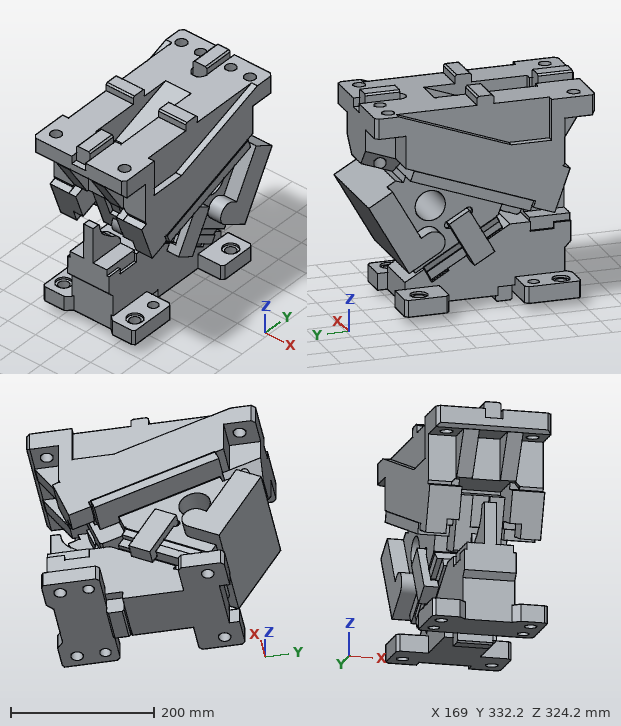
import cadquery as cq
import math


RAMP_ANGLE = 30.0
GUIDE_ANGLE = 20.0
RAMP_ORIGIN = (207.5, 36.0)
GUIDE_ORIGIN = (247.0, 216.2)

UNIT_HALF_WIDTH = 83.0
BODY_HALF_WIDTH = 37.5
BODY_FRONT = 9.0
BODY_REAR = 244.8
BODY_TOP = 104.0
NECK_HALF_WIDTH = 33.5
NOSE_CHAMFER_LOW = 59.8
NOSE_CHAMFER_HIGH = 69.0
UPSTAND_DEPTH = 59.8
UPSTAND_TOP = 109.0
UPSTAND_SEAT_STEP = 24.5
UPSTAND_SEAT_FRONT = 98.5
UPSTAND_SEAT_REAR = 89.7
RIB_HALF_WIDTH = 8.5
RIB_TOP = 169.0
RIB_HEEL_TOP = 116.0
RIB_SHOULDER_MIDDLE = (53.8, 124.0)
RIB_SHOULDER_END = (42.0, 130.5)
RIB_HOLLOW_START = (27.2, 141.8)
RIB_HOLLOW_MIDDLE = (17.5, 153.5)
RIB_HOLLOW_END = (14.3, 165.0)
RIB_TIP_MIDDLE = (13.0, 168.0)
RIB_TIP_END = (10.3, RIB_TOP)
RAIL_LENGTH = 124.5
RAIL_BOTTOM = 4.3
RAIL_TOP = 18.0
RAIL_HALF_WIDTH = 40.2
FLANGE_HALF_WIDTH = 49.8
FLANGE_LENGTH = 84.0
RELIEF_LENGTH = 29.0
RELIEF_DEPTH = 5.5
FOOT_HEIGHT = 25.0
FRONT_FOOT_LENGTH = 82.5
REAR_FOOT_START = 194.0
REAR_FOOT_END = 259.5
FOOT_CHAMFER = 4.5
FRONT_CHAMFER_DEPTH = 2.5
REAR_BOLT_Y = 233.0
FOOT_INNER_X = 44.0
FOOT_HOLE_X = 64.5
FRONT_BOLT_Y = 24.0
FOOT_BOLT_RADIUS = 8.5
FOOT_BOLT_SEAT_RADIUS = 12.5
FOOT_BOLT_SEAT_DEPTH = 3.3
DOWEL_Y = 64.0
DOWEL_RADIUS = 8.0
BASE_KEY_HALF_LENGTH = 25.5

KEY_WIDTH = 25.0
KEY_RISE = 13.0
KEY_CHAMFER = 2.5

SLIDE_HALF_WIDTH = 51.8
SLIDE_DRAFT_HALF_WIDTH = 47.8
SLIDE_DRAFT_TOP = 28.0
PLATE_OVERHANG = 1.5
PLATE_HALF_WIDTH = UNIT_HALF_WIDTH + PLATE_OVERHANG
PLATE_LENGTH = 187.5
PLATE_THICKNESS = 15.5
SHOULDER_STEP = 1.3
SLIDE_LENGTH = 158.0
SLIDE_FRONT_DROP = 40.0
SLIDE_FRONT_FOOT = 30.0
SLIDE_REAR = 5.0
SLIDE_REAR_DROP = 27.5
SLIDE_HEEL = -15.0
SLIDE_CROWN_END = 30.0
SLAB_HALF_WIDTH = 75.0
SLAB_START = -25.0
SLAB_END = 15.5
SLAB_BOTTOM = 44.2
SLAB_TOP = 163.5
BOSS_RADIUS = 17.3
BOSS_CENTRE = 26.2
BORE_CENTRE = (212.2, 150.0)
BORE_RADIUS = 22.3
KEEPER_START = 60.5
KEEPER_WIDTH = 34.5
KEEPER_BOTTOM = -9.0
KEEPER_TOP = 66.0
KEEPER_HALF_WIDTH = 63.5
HOOK_HALF_WIDTH = 42.0
KEEPER_RELIEF_RADIUS = 5.5
KEEPER_RELIEF_DEPTH = 5.0
TONGUE_LENGTH = 38.5
TONGUE_BOTTOM = -37.0
TONGUE_TOP = 44.5
TONGUE_CHAMFER = 3.3
TONGUE_SLOT_DEPTH = 6.5
DISC_CENTRE = (81.5, 130.5)
DISC_RADIUS = 19.0
DISC_HALF_WIDTH = 9.5

HOLDER_FRONT = -21.3
HOLDER_REAR = 303.5
HOLDER_TOP = 298.2
HOLDER_PLATE_BOTTOM = 268.5
HOLDER_CHAMFER = 5.3
WALL_FRONT = 24.5
WALL_BOTTOM = 202.0
WALL_REAR = 259.0
WEB_HALF_WIDTH = 39.5
TAB_DEPTH = 23.2
TAB_TIP_HALF_WIDTH = 19.5
TAB_CLEARANCE = 1.5
CHANNEL_HALF_WIDTH = 36.5
CHANNEL_ROOF = 208.2
STOP_BACK = 191.0
STOP_FRONT = 224.5
STOP_BOTTOM = -9.5
STOP_TOP = 57.5
STOP_ROOT = (26.5, 197.5)
STOP_NOTCH_HALF_WIDTH = 53.8
STOP_NOTCH_TOP = 11.0
GUSSET_INNER = 20.3
GUSSET_OUTER = 43.0
GUSSET_TIP = -17.0
GUSSET_HEEL = 21.5
MOUTH_HALF_WIDTH = 49.0
MOUTH_BACK = 206.5
SIDE_RECESS_X = 72.5
POCKET_HALF_WIDTH = 23.0
POCKET_FRONT = 44.0
POCKET_REAR = 196.3
POCKET_BEND = 86.7
SIDE_RECESS_REAR = 269.0
SIDE_RECESS_BEND = 103.3
HOLE_X = 62.0
HOLE_RADIUS = 9.0
HOLE_REAR_Y = 278.0
HOLE_FRONT_Y = 4.3
PIN_HOLE_X = 27.2
PIN_HOLE_RADIUS = 8.5
LONG_KEY_LENGTH = 51.0
REAR_KEY_FRONT = 243.5
REAR_SLOT_END = 230.5
FRONT_KEY_FRONT = -11.3
CROSS_KEY_FRONT = 125.5


def on_ramp(along, above):
    """(Y, Z) of a point measured up the driver ramp and square to it."""
    angle = math.radians(RAMP_ANGLE)
    y = RAMP_ORIGIN[0] - along * math.cos(angle) + above * math.sin(angle)
    z = RAMP_ORIGIN[1] + along * math.sin(angle) + above * math.cos(angle)
    return (y, z)


def on_guide(along, above):
    """(Y, Z) of a point measured down the holder guide and square to it."""
    angle = math.radians(GUIDE_ANGLE)
    y = GUIDE_ORIGIN[0] - along * math.cos(angle) - above * math.sin(angle)
    z = GUIDE_ORIGIN[1] - along * math.sin(angle) + above * math.cos(angle)
    return (y, z)


def forward(angle):
    """(Y, Z) unit vector pointing to -Y and rising by the given angle."""
    return (-math.cos(math.radians(angle)), math.sin(math.radians(angle)))


def ramp_height(y, above):
    """Z at a given Y on the plane lying a set distance above the driver ramp."""
    angle = math.radians(RAMP_ANGLE)
    return RAMP_ORIGIN[1] + (RAMP_ORIGIN[0] - y) * math.tan(angle) + above / math.cos(angle)


def guide_height(y):
    """Z at a given Y on the holder guide plane."""
    return GUIDE_ORIGIN[1] + (y - GUIDE_ORIGIN[0]) * math.tan(math.radians(GUIDE_ANGLE))


def slab(points, x_start, x_end):
    """Extrude a closed (Y, Z) outline from x_start to x_end."""
    return cq.Workplane("YZ").workplane(offset=x_start).polyline(points).close().extrude(x_end - x_start)


def centred(points, half_width):
    return slab(points, -half_width, half_width)


def both_sides(solid):
    return solid.union(solid.mirror("YZ"))


def pair(points, x_inner, x_outer):
    return both_sides(slab(points, x_inner, x_outer))


def rectangle(frame, start, end, bottom, top):
    """Four corners of a rectangle lying in a ramp or guide frame."""
    return [frame(start, bottom), frame(end, bottom), frame(end, top), frame(start, top)]


def box(x_start, x_end, y_start, y_end, z_start, z_end):
    size = (x_end - x_start, y_end - y_start, z_end - z_start)
    return cq.Workplane("XY").box(*size, centered=False).translate((x_start, y_start, z_start))


def rod(centre, radius, half_width):
    """Cylinder along X about a (Y, Z) centre, symmetric about X = 0."""
    return cq.Workplane("YZ").center(*centre).circle(radius).extrude(half_width, both=True)


def upright_rod(x, y, radius, z_start, z_end):
    return cq.Workplane("XY").workplane(offset=z_start).center(x, y).circle(radius).extrude(z_end - z_start)


def driver_body():
    ramp_run = (BODY_TOP - RAMP_ORIGIN[1]) / math.tan(math.radians(RAMP_ANGLE))
    body = centred([
        (BODY_FRONT, 0),
        (BODY_REAR, 0),
        (BODY_REAR, ramp_height(BODY_REAR, RAIL_TOP)),
        on_ramp(0, RAIL_TOP),
        on_ramp(0, 0),
        on_ramp(RAIL_LENGTH, 0),
        (RAMP_ORIGIN[0] - ramp_run, BODY_TOP),
        (UPSTAND_DEPTH, BODY_TOP),
        (0, BODY_TOP),
        (0, NOSE_CHAMFER_HIGH),
        (BODY_FRONT, NOSE_CHAMFER_LOW),
    ], BODY_HALF_WIDTH)
    seat = pair([
        (0, UPSTAND_SEAT_FRONT),
        (UPSTAND_SEAT_STEP, UPSTAND_SEAT_FRONT),
        (UPSTAND_SEAT_STEP, UPSTAND_SEAT_REAR),
        (UPSTAND_DEPTH, UPSTAND_SEAT_REAR),
        (UPSTAND_DEPTH, UPSTAND_TOP),
        (0, UPSTAND_TOP),
    ], NECK_HALF_WIDTH, BODY_HALF_WIDTH)
    relief = pair(rectangle(on_ramp, 0, RELIEF_LENGTH, -RELIEF_DEPTH, 0), NECK_HALF_WIDTH, BODY_HALF_WIDTH)
    upstand = box(-NECK_HALF_WIDTH, NECK_HALF_WIDTH, 0, UPSTAND_DEPTH, UPSTAND_SEAT_FRONT, UPSTAND_TOP)
    return body.cut(seat).cut(relief).union(upstand)


def driver_rail():
    neck = centred(rectangle(on_ramp, 0, RAIL_LENGTH, -RELIEF_DEPTH, RAIL_TOP), NECK_HALF_WIDTH)
    rail = centred(rectangle(on_ramp, 0, RAIL_LENGTH, RAIL_BOTTOM, RAIL_TOP), RAIL_HALF_WIDTH)
    flange = centred(rectangle(on_ramp, 0, FLANGE_LENGTH, RAIL_BOTTOM, RAIL_TOP), FLANGE_HALF_WIDTH)
    return neck.union(rail).union(flange)


def driver_rib():
    return (
        cq.Workplane("YZ")
        .moveTo(0, UPSTAND_TOP)
        .lineTo(UPSTAND_DEPTH, UPSTAND_TOP)
        .lineTo(UPSTAND_DEPTH, RIB_HEEL_TOP)
        .threePointArc(RIB_SHOULDER_MIDDLE, RIB_SHOULDER_END)
        .lineTo(*RIB_HOLLOW_START)
        .threePointArc(RIB_HOLLOW_MIDDLE, RIB_HOLLOW_END)
        .threePointArc(RIB_TIP_MIDDLE, RIB_TIP_END)
        .lineTo(0, RIB_TOP)
        .close()
        .extrude(RIB_HALF_WIDTH, both=True)
    )


def front_foot():
    foot = (
        cq.Workplane("XY")
        .polyline([
            (NECK_HALF_WIDTH, BODY_FRONT),
            (FOOT_INNER_X, 0),
            (UNIT_HALF_WIDTH - FOOT_CHAMFER, 0),
            (UNIT_HALF_WIDTH, FRONT_CHAMFER_DEPTH),
            (UNIT_HALF_WIDTH, FRONT_FOOT_LENGTH),
            (NECK_HALF_WIDTH, FRONT_FOOT_LENGTH),
        ])
        .close()
        .extrude(FOOT_HEIGHT)
    )
    foot = foot.edges("|Z and >X and >Y").chamfer(FOOT_CHAMFER)
    return foot.cut(foot_bolt_hole(FRONT_BOLT_Y)).cut(
        upright_rod(FOOT_HOLE_X, DOWEL_Y, DOWEL_RADIUS, 0, FOOT_HEIGHT)
    )


def rear_foot():
    foot = box(NECK_HALF_WIDTH, UNIT_HALF_WIDTH, REAR_FOOT_START, REAR_FOOT_END, 0, FOOT_HEIGHT)
    foot = foot.edges("|Z and >X").chamfer(FOOT_CHAMFER)
    behind_body = box(0, BODY_HALF_WIDTH, BODY_REAR, REAR_FOOT_END, 0, FOOT_HEIGHT)
    return foot.cut(behind_body).cut(foot_bolt_hole(REAR_BOLT_Y))


def foot_bolt_hole(y):
    shank = upright_rod(FOOT_HOLE_X, y, FOOT_BOLT_RADIUS, 0, FOOT_HEIGHT)
    seat = upright_rod(
        FOOT_HOLE_X, y, FOOT_BOLT_SEAT_RADIUS, FOOT_HEIGHT - FOOT_BOLT_SEAT_DEPTH, FOOT_HEIGHT
    )
    return shank.union(seat)


def make_driver():
    driver = driver_body().union(driver_rail()).union(driver_rib())
    driver = driver.union(both_sides(front_foot())).union(both_sides(rear_foot()))
    key_end = FRONT_FOOT_LENGTH + KEY_WIDTH
    keyway = box(-BODY_HALF_WIDTH, BODY_HALF_WIDTH, FRONT_FOOT_LENGTH, key_end, 0, KEY_RISE)
    key = box(-BASE_KEY_HALF_LENGTH, BASE_KEY_HALF_LENGTH, FRONT_FOOT_LENGTH, key_end, -KEY_RISE, KEY_RISE)
    key = key.faces("<Z").edges("|X").chamfer(KEY_CHAMFER)
    return driver.cut(keyway).union(key)


def slide_body():
    shoulder = -PLATE_THICKNESS - SHOULDER_STEP
    body = centred([
        on_ramp(SLIDE_HEEL, SLAB_BOTTOM),
        on_ramp(SLIDE_HEEL, SLIDE_DRAFT_TOP),
        on_ramp(RAIL_LENGTH, SLIDE_DRAFT_TOP),
        on_ramp(RAIL_LENGTH, SLIDE_FRONT_FOOT),
        on_guide(SLIDE_LENGTH, -SLIDE_FRONT_DROP),
        on_guide(SLIDE_LENGTH, shoulder),
        on_guide(SLIDE_REAR, shoulder),
        on_guide(SLIDE_REAR, -SLIDE_REAR_DROP),
        on_ramp(SLIDE_CROWN_END, SLAB_TOP),
        on_ramp(0, SLAB_TOP),
        on_ramp(0, SLAB_BOTTOM),
    ], SLIDE_HALF_WIDTH)
    section = cq.Plane((0, *on_ramp(0, RAIL_TOP)), (1, 0, 0), (0, *forward(RAMP_ANGLE)))
    drafted_sole = (
        cq.Workplane(section)
        .polyline([
            (-SLIDE_DRAFT_HALF_WIDTH, 0),
            (SLIDE_DRAFT_HALF_WIDTH, 0),
            (FLANGE_HALF_WIDTH, SLIDE_DRAFT_TOP - RAIL_TOP),
            (-FLANGE_HALF_WIDTH, SLIDE_DRAFT_TOP - RAIL_TOP),
        ])
        .close()
        .extrude(RAIL_LENGTH)
    )
    return body.union(drafted_sole)


def slide_plate():
    """Top plate sliding on the holder guide, with two strips running on past the tongue."""
    shoulder = -PLATE_THICKNESS - SHOULDER_STEP
    neck = centred(
        rectangle(on_guide, SLIDE_REAR, SLIDE_LENGTH, shoulder, -PLATE_THICKNESS),
        SLIDE_HALF_WIDTH - SHOULDER_STEP,
    )
    plate = centred(rectangle(on_guide, 0, SLIDE_LENGTH, -PLATE_THICKNESS, 0), PLATE_HALF_WIDTH)
    strips = pair(
        rectangle(on_guide, SLIDE_LENGTH, PLATE_LENGTH, -PLATE_THICKNESS, 0), WEB_HALF_WIDTH, PLATE_HALF_WIDTH
    )
    return neck.union(plate).union(strips)


def slide_rear_slab():
    top = SLAB_BOTTOM + 2 * BOSS_RADIUS
    wall = centred(rectangle(on_ramp, SLAB_START, SLAB_END, SLAB_BOTTOM, SLAB_TOP), SLAB_HALF_WIDTH)
    boss_root = centred(rectangle(on_ramp, SLAB_END, BOSS_CENTRE, SLAB_BOTTOM, top), SLAB_HALF_WIDTH)
    boss_end = rod(on_ramp(BOSS_CENTRE, SLAB_BOTTOM + BOSS_RADIUS), BOSS_RADIUS, SLAB_HALF_WIDTH)
    return wall.union(boss_root).union(boss_end)


def slide_tongue():
    """Front block that runs up into the holder channel, slotted for the driver rib."""
    front = SLIDE_LENGTH + TONGUE_LENGTH
    block = centred([
        on_guide(SLIDE_LENGTH, TONGUE_BOTTOM),
        on_guide(front - TONGUE_CHAMFER, TONGUE_BOTTOM),
        on_guide(front, TONGUE_BOTTOM + TONGUE_CHAMFER),
        on_guide(front, TONGUE_TOP),
        on_guide(SLIDE_LENGTH, TONGUE_TOP),
    ], NECK_HALF_WIDTH)
    slot = centred(
        rectangle(on_guide, front - TONGUE_SLOT_DEPTH, front, 0, TONGUE_TOP), KEY_WIDTH / 2
    )
    disc = rod(DISC_CENTRE, DISC_RADIUS, DISC_HALF_WIDTH)
    return block.cut(slot).union(disc)


def keeper_relief(along):
    """Shallow round relief in both slide flanks beside a keeper's upper end."""
    centre = on_ramp(along, KEEPER_TOP - KEEPER_RELIEF_RADIUS)
    through = rod(centre, KEEPER_RELIEF_RADIUS, SLIDE_HALF_WIDTH)
    return through.cut(rod(centre, KEEPER_RELIEF_RADIUS, SLIDE_HALF_WIDTH - KEEPER_RELIEF_DEPTH))


def keepers():
    """L-shaped plates on the slide flanks that hook under the driver flanges."""
    end = KEEPER_START + KEEPER_WIDTH
    inner = SLIDE_HALF_WIDTH - KEEPER_RELIEF_DEPTH
    mount = pair(rectangle(on_ramp, KEEPER_START, end, SLIDE_DRAFT_TOP, KEEPER_TOP), inner, SLIDE_HALF_WIDTH)
    upright = pair(
        rectangle(on_ramp, KEEPER_START, end, KEEPER_BOTTOM, KEEPER_TOP), SLIDE_HALF_WIDTH, KEEPER_HALF_WIDTH
    )
    hook = pair(
        rectangle(on_ramp, KEEPER_START, end, KEEPER_BOTTOM, RAIL_BOTTOM), HOOK_HALF_WIDTH, SLIDE_HALF_WIDTH
    )
    return mount.union(upright).union(hook)


def make_slide():
    slide = slide_body().union(slide_plate()).union(slide_rear_slab())
    slide = slide.union(slide_tongue())
    slide = slide.cut(rod(BORE_CENTRE, BORE_RADIUS, SLAB_HALF_WIDTH))
    for along in (KEEPER_START, KEEPER_START + KEEPER_WIDTH):
        slide = slide.cut(keeper_relief(along))
    return slide.union(keepers())


def rear_tab():
    """Tapered lug under the holder's rear end, just behind the slide plate."""
    lead = (HOLDER_REAR - GUIDE_ORIGIN[0]) / math.cos(math.radians(GUIDE_ANGLE)) + TAB_DEPTH
    section = cq.Plane((0, *on_guide(-lead, 0)), (1, 0, 0), (0, *forward(-GUIDE_ANGLE)))
    tab = (
        cq.Workplane(section)
        .polyline([
            (-WEB_HALF_WIDTH, 0),
            (WEB_HALF_WIDTH, 0),
            (TAB_TIP_HALF_WIDTH, -TAB_DEPTH),
            (-TAB_TIP_HALF_WIDTH, -TAB_DEPTH),
        ])
        .close()
        .extrude(lead - TAB_CLEARANCE)
    )
    return tab.cut(box(-WEB_HALF_WIDTH, WEB_HALF_WIDTH, HOLDER_REAR, HOLDER_REAR + lead, 0, HOLDER_TOP))


def holder_plate():
    plate = box(
        -UNIT_HALF_WIDTH, UNIT_HALF_WIDTH, HOLDER_FRONT, HOLDER_REAR, HOLDER_PLATE_BOTTOM, HOLDER_TOP
    )
    plate = plate.edges("|Z").chamfer(HOLDER_CHAMFER)
    return plate.faces("<Y").edges("<Z").chamfer(HOLDER_CHAMFER)


def holder_body():
    wall = centred([
        (WALL_REAR, HOLDER_PLATE_BOTTOM),
        (WALL_REAR, guide_height(WALL_REAR)),
        on_guide(STOP_BACK, 0),
        on_guide(STOP_BACK, STOP_BOTTOM),
        on_guide(STOP_FRONT, STOP_BOTTOM),
        on_guide(STOP_FRONT, STOP_TOP),
        STOP_ROOT,
        (WALL_FRONT, WALL_BOTTOM),
        (WALL_FRONT, HOLDER_PLATE_BOTTOM),
    ], UNIT_HALF_WIDTH)
    rear_web = centred([
        (WALL_REAR, HOLDER_PLATE_BOTTOM),
        (HOLDER_REAR, HOLDER_PLATE_BOTTOM),
        (HOLDER_REAR, guide_height(HOLDER_REAR)),
        (WALL_REAR, guide_height(WALL_REAR)),
    ], WEB_HALF_WIDTH)
    return wall.union(rear_web)


def tongue_channel():
    roof_above = (CHANNEL_ROOF - on_guide(SLIDE_LENGTH, 0)[1]) / math.cos(math.radians(GUIDE_ANGLE))
    return centred([
        on_guide(SLIDE_LENGTH, -TAB_DEPTH),
        on_guide(SLIDE_LENGTH, roof_above),
        (HOLDER_FRONT, CHANNEL_ROOF),
        on_guide(STOP_FRONT, -TAB_DEPTH),
    ], CHANNEL_HALF_WIDTH)


def channel_mouth():
    """Flared relief where the channel breaks through the front wall above the stops."""
    flare = (
        cq.Workplane("XZ", origin=(0, WALL_REAR, 0))
        .polyline([
            (0, CHANNEL_ROOF),
            (GUSSET_OUTER, CHANNEL_ROOF),
            (MOUTH_HALF_WIDTH, CHANNEL_ROOF - (MOUTH_HALF_WIDTH - GUSSET_OUTER)),
            (MOUTH_HALF_WIDTH, 0),
            (0, 0),
        ])
        .close()
        .extrude(WALL_REAR - HOLDER_FRONT)
    )
    above_stop = slab(
        rectangle(on_guide, MOUTH_BACK, STOP_FRONT, STOP_TOP, STOP_TOP + STOP_FRONT - STOP_BACK),
        0,
        MOUTH_HALF_WIDTH,
    )
    return both_sides(flare.intersect(above_stop))


def gussets():
    return pair([
        (WALL_FRONT, HOLDER_PLATE_BOTTOM),
        (GUSSET_TIP, HOLDER_PLATE_BOTTOM),
        (GUSSET_HEEL, CHANNEL_ROOF),
        (WALL_FRONT, CHANNEL_ROOF),
    ], GUSSET_INNER, GUSSET_OUTER)


def sloped_recess(front, bend, rear):
    """(Y, Z) outline of a recess whose floor falls with the guide, then runs level."""
    floor = HOLDER_TOP - (rear - bend) * math.tan(math.radians(GUIDE_ANGLE))
    return [(rear, HOLDER_TOP), (bend, floor), (front, floor), (front, HOLDER_TOP)]


def holder_holes():
    holes = [
        upright_rod(x, y, HOLE_RADIUS, HOLDER_PLATE_BOTTOM, HOLDER_TOP)
        for x in (-HOLE_X, HOLE_X)
        for y in (HOLE_FRONT_Y, HOLE_REAR_Y)
    ]
    holes += [
        upright_rod(x, HOLE_REAR_Y, PIN_HOLE_RADIUS, 0, HOLDER_TOP) for x in (-PIN_HOLE_X, PIN_HOLE_X)
    ]
    return holes


def key_slots():
    half = KEY_WIDTH / 2
    floor = HOLDER_TOP - KEY_RISE
    rear = box(-half, half, REAR_SLOT_END + half, HOLDER_REAR, floor, HOLDER_TOP)
    rear = rear.union(upright_rod(0, REAR_SLOT_END + half, half, floor, HOLDER_TOP))
    return rear.union(box(-half, half, HOLDER_FRONT, POCKET_FRONT, floor, HOLDER_TOP))


def holder_keys():
    half = KEY_WIDTH / 2
    crest = HOLDER_TOP + KEY_RISE
    keys = []
    for front in (FRONT_KEY_FRONT, REAR_KEY_FRONT):
        key = box(-half, half, front, front + LONG_KEY_LENGTH, HOLDER_TOP - KEY_RISE, crest)
        keys.append(key.faces(">Z").edges("|Y").chamfer(KEY_CHAMFER))
    cross = box(
        POCKET_HALF_WIDTH, SIDE_RECESS_X, CROSS_KEY_FRONT, CROSS_KEY_FRONT + KEY_WIDTH, HOLDER_TOP, crest
    )
    keys.append(both_sides(cross.faces(">Z").edges("|X").chamfer(KEY_CHAMFER)))
    return keys


def make_holder():
    holder = holder_plate().union(holder_body()).union(rear_tab())
    holder = holder.cut(tongue_channel()).cut(channel_mouth()).union(gussets())
    holder = holder.cut(centred(
        rectangle(on_guide, STOP_BACK, STOP_FRONT, STOP_BOTTOM, STOP_NOTCH_TOP), STOP_NOTCH_HALF_WIDTH
    ))
    side_outline = sloped_recess(POCKET_FRONT, SIDE_RECESS_BEND, SIDE_RECESS_REAR)
    holder = holder.cut(pair(side_outline, SIDE_RECESS_X, UNIT_HALF_WIDTH))
    holder = holder.cut(centred(sloped_recess(POCKET_FRONT, POCKET_BEND, POCKET_REAR), POCKET_HALF_WIDTH))
    for hole in holder_holes():
        holder = holder.cut(hole)
    holder = holder.cut(key_slots())
    for key in holder_keys():
        holder = holder.union(key)
    return holder


driver = make_driver()
slide = make_slide()
holder = make_holder()

result = cq.Compound.makeCompound([driver.val(), slide.val(), holder.val()])